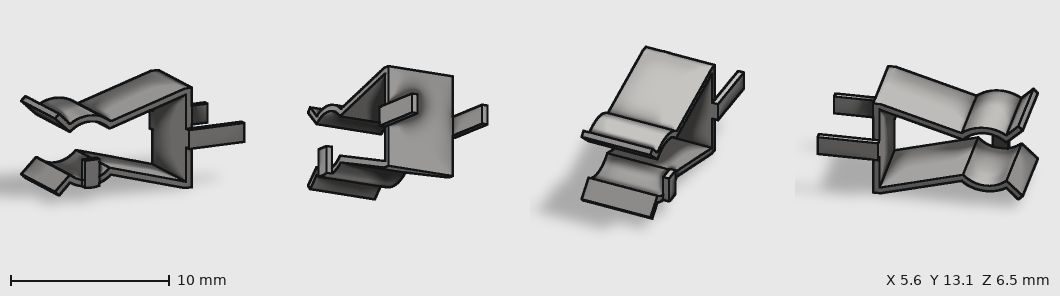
import cadquery as cq
import math

thickness = 0.4
overall_width = 5.6
overall_length = 13.1
overall_height = 6.5
strip_width = overall_width - 2 * thickness
half_height = overall_height / 2

base_back = 9.62
base_front = base_back - thickness
leg_half_height = 0.62

arm_outer_start = 9.13
seat_y = 2.38
seat_center_z = -0.1
seat_inner_radius = 2.0
seat_outer_radius = seat_inner_radius + thickness
seat_rear_inner = 3.84
seat_rear_outer = 3.93
seat_front_inner = 1.05
seat_front_outer = 1.06

lip_tip_z = 2.38
lip_offset = thickness * math.sin(math.radians(45))

stop_length = 1.0
stop_y = 2.41
stop_top = -0.5


def seat_point(y, radius):
    """Point of the upper seat arc at the given Y."""
    return y, seat_center_z + math.sqrt(radius**2 - (y - seat_y) ** 2)


def extrude_x(sketch, x_start, length):
    """Extrude a closed YZ outline along +X, starting at x_start."""
    return sketch.extrude(length).translate((x_start, 0, 0))


def make_upper_half():
    """Upper half of the bent strip: half the base, one arm, seat and lip."""
    outline = (
        cq.Workplane("YZ")
        .moveTo(base_back, 0)
        .lineTo(base_back, half_height)
        .lineTo(arm_outer_start, half_height)
        .lineTo(*seat_point(seat_rear_outer, seat_outer_radius))
        .threePointArc(
            seat_point(seat_y, seat_outer_radius),
            seat_point(seat_front_outer, seat_outer_radius),
        )
        .lineTo(lip_offset, lip_tip_z + lip_offset)
        .lineTo(0, lip_tip_z)
        .lineTo(*seat_point(seat_front_inner, seat_inner_radius))
        .threePointArc(
            seat_point(seat_y, seat_inner_radius),
            seat_point(seat_rear_inner, seat_inner_radius),
        )
        .lineTo(base_front, half_height - thickness)
        .lineTo(base_front, 0)
        .close()
    )
    return extrude_x(outline, -strip_width / 2, strip_width)


def make_leg(x_start):
    """Terminal leg running back from the inner face of the base."""
    outline = (
        cq.Workplane("YZ")
        .moveTo(base_front, -leg_half_height)
        .lineTo(overall_length, -leg_half_height)
        .lineTo(overall_length, leg_half_height)
        .lineTo(base_front, leg_half_height)
        .close()
    )
    return extrude_x(outline, x_start, thickness)


def make_stop():
    """Upright stop whose bottom follows the outside of the lower seat."""
    front = stop_y - stop_length / 2
    rear = stop_y + stop_length / 2
    front_z = seat_point(front, seat_outer_radius)[1]
    middle_z = seat_point(stop_y, seat_outer_radius)[1]
    rear_z = seat_point(rear, seat_outer_radius)[1]
    outline = (
        cq.Workplane("YZ")
        .moveTo(front, stop_top)
        .lineTo(front, -front_z)
        .threePointArc((stop_y, -middle_z), (rear, -rear_z))
        .lineTo(rear, stop_top)
        .close()
    )
    return extrude_x(outline, strip_width / 2, thickness)


upper_half = make_upper_half()
result = upper_half.union(upper_half.mirror("XY"))
for leg_start in (-overall_width / 2, strip_width / 2):
    result = result.union(make_leg(leg_start))
result = result.union(make_stop())